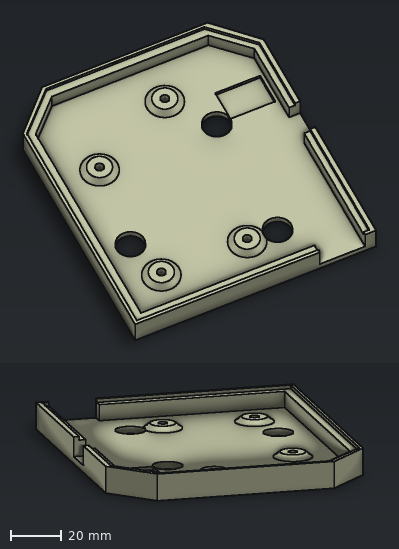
import cadquery as cq

length = 121.2
width = 107.0
height = 11.2
floor_thickness = 3.0
corner_run_x = 17.2
corner_run_y = 16.7

wall = 5.0
inner_corner_run = 13.8
lip = 1.5
back_lip = 2.3
lip_corner_run = 16.5
ledge_depth = 1.5

back_gap_start = 50.9
back_gap_width = 14.0
right_gap_start = 82.0

pocket_left = 27.4
pocket_front = 80.5
pocket_length = 14.1
pocket_width = 19.9
pocket_depth = 1.5

boss_base_radius = 7.9
boss_top_radius = 5.2
boss_height = 2.1
screw_hole_radius = 1.8
boss_right_x = 98.7
boss_front_x = 41.5
boss_left_x = 22.4
boss_front_y = 22.4
boss_back_y = 60.5
boss_centers = [
    (boss_left_x, boss_back_y),
    (boss_right_x, boss_back_y),
    (boss_front_x, boss_front_y),
    (boss_right_x, boss_front_y),
]

opening_radius = 6.1
opening_centers = [(boss_front_x, 74.5), (boss_right_x, 74.0), (79.7, 17.8)]


def clipped_plate(left, front, right, back, run_x, run_y, bottom, top):
    """Rectangular plate whose two left corners are cut off diagonally."""
    return (
        cq.Workplane("XY", origin=(0, 0, bottom))
        .moveTo(left + run_x, front)
        .lineTo(right, front)
        .lineTo(right, back)
        .lineTo(left + run_x, back)
        .lineTo(left, back - run_y)
        .lineTo(left, front + run_y)
        .close()
        .extrude(top - bottom)
    )


def block(left, front, bottom, size_x, size_y, size_z):
    """Box placed by its lowest left front corner."""
    return cq.Workplane("XY").box(size_x, size_y, size_z, centered=False).translate((left, front, bottom))


def make_tray():
    """Walled tray with a stepped rim."""
    body = clipped_plate(0, 0, length, width, corner_run_x, corner_run_y, 0, height)
    cavity = clipped_plate(
        wall, wall, length - wall, width - wall,
        inner_corner_run, inner_corner_run, floor_thickness, height,
    )
    ledge = clipped_plate(
        lip, lip, length - lip, width - back_lip,
        lip_corner_run, lip_corner_run, height - ledge_depth, height,
    )
    return body.cut(cavity).cut(ledge)


def make_wall_gaps():
    """Cutters for the back and right wall openings."""
    gap_height = height - floor_thickness
    back_gap = block(
        back_gap_start, width - wall, floor_thickness,
        back_gap_width, wall, gap_height,
    )
    right_gap = block(
        length - wall, right_gap_start, floor_thickness,
        wall, width - wall - right_gap_start, gap_height,
    )
    return back_gap.union(right_gap)


def make_bosses():
    """Truncated cones, sunk through the floor so that they fuse with it."""
    cone = (
        cq.Workplane("XZ")
        .lineTo(boss_base_radius, 0)
        .lineTo(boss_base_radius, floor_thickness)
        .lineTo(boss_top_radius, floor_thickness + boss_height)
        .lineTo(0, floor_thickness + boss_height)
        .close()
        .revolve(360, (0, 0, 0), (0, 1, 0))
    )
    bosses = cq.Workplane("XY")
    for x, y in boss_centers:
        bosses = bosses.add(cone.translate((x, y, 0)))
    return bosses.combine()


def make_round_holes(centers, radius):
    """Vertical cylinders through the full height."""
    return cq.Workplane("XY").pushPoints(centers).circle(radius).extrude(height)


pocket = block(
    pocket_left, pocket_front, floor_thickness - pocket_depth,
    pocket_length, pocket_width, pocket_depth,
)

result = make_tray().cut(make_wall_gaps()).union(make_bosses())
result = result.cut(pocket)
result = result.cut(make_round_holes(boss_centers, screw_hole_radius))
result = result.cut(make_round_holes(opening_centers, opening_radius))